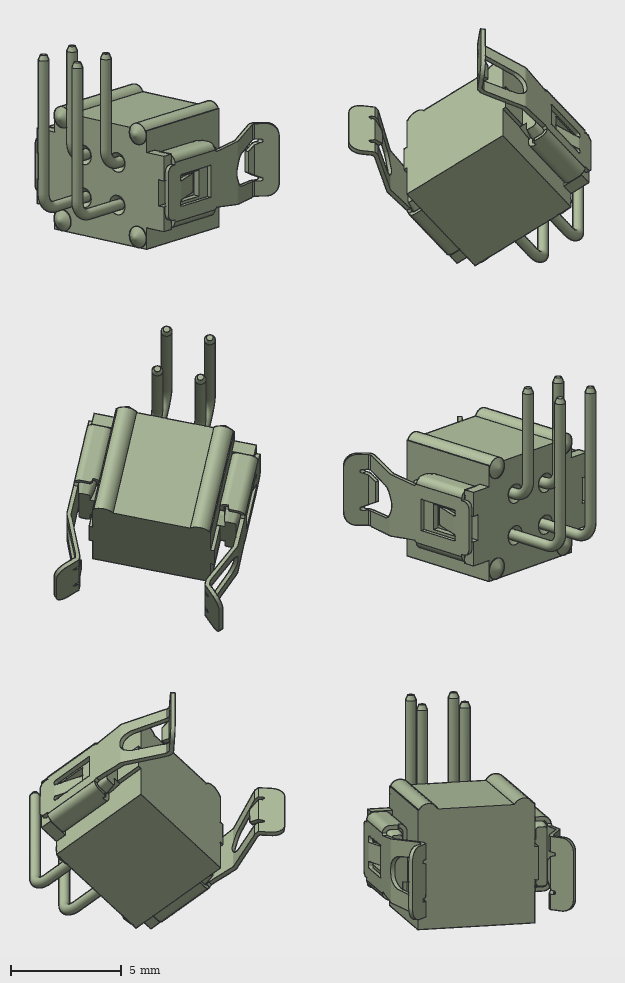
import cadquery as cq
import math


overall_length = 11.1

body_half_width = 2.73
body_half_height = 2.78
body_depth = 5.08
peg_radius = 0.5
peg_stand_out = 0.03
peg_cone_height = 0.28
peg_rise = 0.28

pin_pitch = 2.0
pin_diameter = 0.5
pin_radius = pin_diameter / 2
pin_bend_radius = 0.75
pin_top = 6.27
pin_tip_diameter = 0.3
pin_tip_height = 0.23
pin_insertion = body_depth / 2
upper_pin_y = -0.8
lower_pin_y = upper_pin_y - pin_pitch
countersink_radius = 0.45
countersink_depth = countersink_radius - pin_radius

sheet = 0.2
clip_outer_x = 3.95
clip_inner_x = clip_outer_x - sheet
clip_front = 0.1
tab_half_height = 1.29
tab_corner_radius = 0.3
wrap_half_height = 1.73
wrap_bend_radius = 0.38
wrap_end = 3.35
return_end = 3.15
return_start_x = 3.13
return_corner = 0.09
return_half_gap = 0.98
neck_start = 3.49
neck_half_height = 1.31
neck_gusset_height = 0.09
neck_bend_y = 4.96
neck_bend_radius = 0.32
waist_x = 3.11
waist_start = 6.98
waist_end = 7.12
head_inner_corner_y = 7.2
head_half_height = 1.7
head_start = 6.83
head_tip_y = overall_length + lower_pin_y - pin_radius
head_corner_radius = 0.6

opening_radius = 0.81
opening_bottom = 4.88
opening_tangent_y = 5.41
opening_end_half_height = 0.98
opening_end_y = 7.3
slot_radius = 0.083
tongue_end_y = 6.67
tongue_end_half_height = 0.49
tongue_root_half_height = opening_end_half_height - 2 * slot_radius

window_front = 0.94
window_back = 3.05
window_height = 1.5
window_corner_radius = 0.1
tang_root_y = 1.05
tang_bend_y = 0.99
tang_bend_radius = 0.18
tang_end_x = 3.46
tang_end_y = 2.41
tang_half_height = 0.44

flange_depth = 0.54
flange_half_height = 1.76
groove_floor_x = 3.44
groove_half_height = 0.61
groove_end = 2.48
bar_inner_x = 3.0
bar_half_height = 1.49
bar_corner_radius = 0.25
bar_end = 3.83
bar_taper = 14
web_half_height = 0.93
keel_x = 2.9
keel_half_height = 0.78


def block(x0, x1, y0, y1, half_height):
    """Box that is symmetric about Z = 0."""
    return cq.Workplane("XY").box(x1 - x0, y1 - y0, 2 * half_height).translate(
        ((x0 + x1) / 2, (y0 + y1) / 2, 0)
    )


def mirrored(half_outline):
    """Closed (Y, Z) outline from its upper half."""
    return half_outline + [(y, -z) for y, z in reversed(half_outline)]


def rounded_bar(x0, x1, y0, y1, half_height, radius):
    """Block whose four edges along Y are rounded."""
    return block(x0, x1, y0, y1, half_height).edges("|Y").fillet(radius)


def peg(x, z):
    """Round rib along the housing with a conical end past the pin-side face."""
    cone_base = -peg_stand_out
    profile = [
        (0, body_depth),
        (peg_radius, body_depth),
        (peg_radius, cone_base),
        (0, cone_base - peg_cone_height),
    ]
    return cq.Workplane("XY").polyline(profile).close().revolve(360, (0, 0), (0, 1)).translate((x, 0, z))


def with_tail(bar):
    """The bar, lengthened by a tapered tail at its +Y end."""
    return bar.faces(">Y").wires().toPending().workplane().extrude(bar_end - wrap_end, taper=bar_taper)


def wing():
    """Flange, clip bar with its tapered tail, and the web that joins them to the body, on the +X side."""
    flange = block(0, clip_inner_x, 0, flange_depth, flange_half_height)
    bar = rounded_bar(bar_inner_x, clip_inner_x, 0, wrap_end, bar_half_height, bar_corner_radius)
    web = block(0, (bar_inner_x + clip_inner_x) / 2, 0, wrap_end, web_half_height)
    keel = block(0, keel_x, 0, body_depth, keel_half_height)
    groove = block(groove_floor_x, clip_outer_x, 0, groove_end, groove_half_height)
    return flange.union(with_tail(bar)).union(with_tail(web)).cut(groove).union(keel)


def pin(x, row):
    """Right-angle pin; row is -1 for the lower row and 1 for the upper row."""
    z = row * pin_pitch / 2
    y = upper_pin_y if row > 0 else lower_pin_y
    bend_offset = pin_bend_radius * math.sqrt(0.5)
    path = (
        cq.Workplane("YZ", origin=(x, 0, 0))
        .moveTo(pin_insertion, z)
        .lineTo(y + pin_bend_radius, z)
        .threePointArc(
            (y + pin_bend_radius - bend_offset, z + pin_bend_radius - bend_offset),
            (y, z + pin_bend_radius),
        )
        .lineTo(y, pin_top)
    )
    rod = cq.Workplane("XZ", origin=(x, pin_insertion, z)).circle(pin_radius).sweep(path)
    return rod.faces(">Z").chamfer(pin_tip_height, (pin_diameter - pin_tip_diameter) / 2)


def pin_hole(x, z):
    """Hole that fits the pin, with a countersink at the pin-side face."""
    profile = [
        (0, 0),
        (countersink_radius, 0),
        (pin_radius, countersink_depth),
        (pin_radius, pin_insertion),
        (0, pin_insertion),
    ]
    return cq.Workplane("XY").polyline(profile).close().revolve(360, (0, 0), (0, 1)).translate((x, 0, z))


def make_housing():
    """Body with pegs, wings and pin holes; each wing has a recess for the end of its clip's tang."""
    housing = block(-body_half_width, body_half_width, 0, body_depth, body_half_height)
    upper_peg_z = body_half_height + peg_rise - peg_radius
    lower_peg_z = -body_half_height + peg_radius
    for side in (-1, 1):
        for z in (upper_peg_z, lower_peg_z):
            housing = housing.union(peg(side * (body_half_width - peg_radius), z))
    right_wing = wing().cut(tang())
    housing = housing.union(right_wing).union(right_wing.mirror("YZ"))
    for side in (-1, 1):
        for row in (-1, 1):
            housing = housing.cut(pin_hole(side * pin_pitch / 2, row * pin_pitch / 2))
    return housing


def clip_strip():
    """Bent sheet from the front tab to the head, before its sides are trimmed."""
    waist_inner_x = waist_x - sheet
    tip_x = waist_inner_x + head_tip_y - head_inner_corner_y
    skew = sheet * math.sqrt(0.5)
    profile = [
        (clip_outer_x, clip_front),
        (clip_outer_x, neck_bend_y),
        (waist_x, waist_start),
        (waist_x, waist_end),
        (tip_x + skew, head_tip_y - skew),
        (tip_x, head_tip_y),
        (waist_inner_x, head_inner_corner_y),
        (waist_inner_x, waist_start),
        (clip_inner_x, neck_bend_y),
        (clip_inner_x, clip_front),
    ]
    strip = cq.Workplane("XY").polyline(profile).close().extrude(head_half_height, both=True)
    for x, radius in ((clip_outer_x, neck_bend_radius), (clip_inner_x, neck_bend_radius - sheet)):
        strip = strip.edges(cq.NearestToPointSelector((x, neck_bend_y, 0))).fillet(radius)
    outline = mirrored([
        (clip_front, tab_half_height),
        (flange_depth, tab_half_height),
        (flange_depth, neck_half_height + neck_gusset_height),
        (wrap_end, neck_half_height + neck_gusset_height),
        (neck_start, neck_half_height),
        (head_start, head_half_height),
        (head_tip_y, head_half_height),
    ])
    strip = strip.intersect(cq.Workplane("YZ").polyline(outline).close().extrude(2 * clip_outer_x))
    for side in (-1, 1):
        tip_edge = (tip_x + skew / 2, head_tip_y - skew / 2, side * head_half_height)
        strip = strip.edges(cq.NearestToPointSelector(tip_edge)).fillet(head_corner_radius)
        tab_edge = (clip_outer_x - sheet / 2, clip_front, side * tab_half_height)
        strip = strip.edges(cq.NearestToPointSelector(tab_edge)).fillet(tab_corner_radius)
    return strip


def arm_opening():
    """Cutter between the two arms: round at the front, with a slot each side of the tongue."""
    tangent_z = math.sqrt(opening_radius**2 - (opening_bottom + opening_radius - opening_tangent_y) ** 2)
    slot_z = opening_end_half_height - slot_radius
    tongue_share = (waist_start - tongue_end_y) / (opening_end_y - tongue_end_y)
    tongue_widening = tongue_root_half_height - tongue_end_half_height
    tongue_waist_z = tongue_end_half_height + tongue_share * tongue_widening
    return (
        cq.Workplane("YZ")
        .moveTo(opening_tangent_y, -tangent_z)
        .threePointArc((opening_bottom, 0), (opening_tangent_y, tangent_z))
        .lineTo(waist_start, opening_end_half_height)
        .lineTo(opening_end_y, opening_end_half_height)
        .threePointArc((opening_end_y + slot_radius, slot_z), (opening_end_y, slot_z - slot_radius))
        .lineTo(waist_start, tongue_waist_z)
        .lineTo(waist_start, -tongue_waist_z)
        .lineTo(opening_end_y, slot_radius - slot_z)
        .threePointArc((opening_end_y + slot_radius, -slot_z), (opening_end_y, -opening_end_half_height))
        .lineTo(waist_start, -opening_end_half_height)
        .close()
        .extrude(2 * clip_outer_x)
    )


def tongue():
    """Flat tapered tongue that runs straight on from the waist into the opening."""
    outline = mirrored([
        (tongue_end_y, tongue_end_half_height),
        (opening_end_y, tongue_root_half_height),
    ])
    plate = cq.Workplane("YZ").polyline(outline).close().extrude(2 * clip_outer_x)
    return plate.intersect(block(waist_x - sheet, waist_x, tongue_end_y, waist_end, head_half_height))


def clip_wrap():
    """C-shaped sleeve around the wing's bar, open towards the web."""
    outer = rounded_bar(
        body_half_width, clip_outer_x, flange_depth, wrap_end, wrap_half_height, wrap_bend_radius
    )
    inner = rounded_bar(
        body_half_width + sheet, clip_inner_x, flange_depth, wrap_end,
        wrap_half_height - sheet, wrap_bend_radius - sheet,
    )
    gap = block(body_half_width, bar_inner_x, flange_depth, wrap_end, return_half_gap)
    step = [
        (body_half_width, return_end),
        (return_start_x, return_end),
        (return_start_x, wrap_end - return_corner),
        (return_start_x + return_corner, wrap_end),
        (body_half_width, wrap_end),
    ]
    short_return = cq.Workplane("XY").polyline(step).close().extrude(wrap_half_height, both=True)
    return outer.cut(inner).cut(gap).cut(short_return)


def tang_window():
    """Opening around the tang, with rounded front corners beside the window's ends and the tang's root."""
    window = block(0, 2 * clip_outer_x, window_front, window_back, window_height / 2)
    root = block(0, 2 * clip_outer_x, window_front, tang_root_y, tang_half_height)
    return window.cut(root).edges("|X").edges("<Y").fillet(window_corner_radius).union(root)


def tang():
    """Tab bent inwards from the front of the window, until its end sinks into the groove floor."""
    angle = math.atan2(clip_outer_x - tang_end_x, tang_end_y - tang_bend_y)
    inner_bend_y = tang_bend_y - sheet * math.tan(angle / 2)
    profile = [
        (clip_outer_x, window_front),
        (clip_outer_x, tang_bend_y),
        (tang_end_x, tang_end_y),
        (tang_end_x - sheet / math.cos(angle), tang_end_y),
        (clip_inner_x, inner_bend_y),
        (clip_inner_x, window_front),
    ]
    tab = cq.Workplane("XY").polyline(profile).close().extrude(tang_half_height, both=True)
    return tab.edges(cq.NearestToPointSelector((clip_outer_x, tang_bend_y, 0))).fillet(tang_bend_radius)


def make_clip():
    """Spring clip on the +X side."""
    clip = clip_strip().cut(arm_opening())
    return clip.union(clip_wrap()).cut(tang_window()).union(tang()).union(tongue())


housing = make_housing()
pins = [pin(side * pin_pitch / 2, row) for side in (-1, 1) for row in (-1, 1)]
right_clip = make_clip()
clips = [right_clip, right_clip.mirror("YZ")]

result = cq.Compound.makeCompound([housing.val(), *[body.val() for body in pins + clips]])